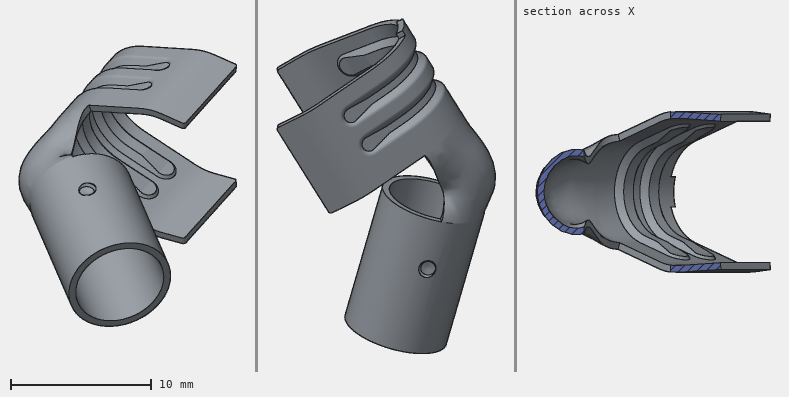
import cadquery as cq
import math


sheet = 0.508
barrel_radius = 3.75
barrel_length = 10.38

channel_turn = -45
channel_start = -12.36
channel_length = 7.62
channel_end = channel_start + channel_length
back_radius = 4.318
back_center_y = -0.67
channel_half_height = 5.715
wing_angle = math.radians(18.5)
lip_radius = 4.4
lip_angle = math.radians(5.5)
wing_tip_y = 5.77
tip_corner_radius = 0.2

tab_length = 0.42
tab_half_width = 1.08

groove_positions = [channel_start + 2.05, channel_start + 4.60]
groove_depth = 0.46
groove_half_width = 0.735
groove_edge_radius = 0.35
groove_end_depth = 0.2
groove_straight_length = 1.2
groove_ramp_length = 1.7
cutter_overlap = 0.1

neck_entry_length = 1.1
neck_entry_half_width = 3.92
neck_taper_length = 2.6
neck_taper_half_width = 3.12
neck_taper_bottom_y = -5.16
neck_taper_rim_y = -1.67
neck_exit_x = -0.6
neck_exit_half_width = 3.41
neck_exit_bottom_y = -3.76
neck_mouth_y = -0.59
throat_top = (-1.74, -0.24)
throat_bottom = (-3.20, -3.69)
throat_rim_half_width = 2.5
throat_half_width = 2.66
throat_wide_height = 2.0

dimple_x = 3.78
dimple_y = -0.62
dimple_radius = 0.67
dimple_floor_radius = 0.52
dimple_edge_depth = 0.2
dimple_depth = 0.3

wing_sin = math.sin(wing_angle)
wing_cos = math.cos(wing_angle)
wing_start = (back_center_y - back_radius * wing_sin, back_radius * wing_cos)
wing_rise = channel_half_height - lip_radius * (1 - wing_cos) - wing_start[1]
wing_length = wing_rise / wing_sin
lip_center = (
    wing_start[0] + wing_length * wing_cos + lip_radius * wing_sin,
    channel_half_height - lip_radius,
)


def section_half(inset):
    """Points of one half of the channel section at a depth below its outer face, from back to tip."""
    back = back_radius - inset
    lip = lip_radius - inset
    lip_end = (
        lip_center[0] + lip * math.sin(lip_angle),
        lip_center[1] + lip * math.cos(lip_angle),
    )
    tip_y = wing_tip_y - inset * math.sin(lip_angle)
    return {
        "back": (back_center_y - back, 0),
        "wing_start": (back_center_y - back * wing_sin, back * wing_cos),
        "wing_end": (lip_center[0] - lip * wing_sin, lip_center[1] + lip * wing_cos),
        "lip_top": (lip_center[0], lip_center[1] + lip),
        "lip_end": lip_end,
        "tip": (tip_y, lip_end[1] - (tip_y - lip_end[0]) * math.tan(lip_angle)),
    }


def mirrored(point):
    """The point reflected in the first axis of its plane."""
    return (point[0], -point[1])


def opposite(point):
    """The point reflected in the second axis of its plane."""
    return (-point[0], point[1])


def trim_to_tab(channel):
    """Cut the first stretch of the channel away, except for the tab on its back."""
    waste = cq.Workplane("XY").box(
        tab_length, 4 * channel_half_height, 4 * channel_half_height
    )
    tab = cq.Workplane("XY").box(
        tab_length, 2 * tab_half_width, 2 * tab_half_width
    ).translate((0, back_center_y - back_radius, 0))
    return channel.cut(waste.cut(tab).translate((channel_start - tab_length / 2, 0, 0)))


def make_channel():
    outer = section_half(0)
    inner = section_half(sheet)
    channel = (
        cq.Workplane("YZ", origin=(channel_start - tab_length, 0, 0))
        .moveTo(*outer["tip"])
        .lineTo(*outer["lip_end"])
        .threePointArc(outer["lip_top"], outer["wing_end"])
        .lineTo(*outer["wing_start"])
        .threePointArc(outer["back"], mirrored(outer["wing_start"]))
        .lineTo(*mirrored(outer["wing_end"]))
        .threePointArc(mirrored(outer["lip_top"]), mirrored(outer["lip_end"]))
        .lineTo(*mirrored(outer["tip"]))
        .lineTo(*mirrored(inner["tip"]))
        .lineTo(*mirrored(inner["lip_end"]))
        .threePointArc(mirrored(inner["lip_top"]), mirrored(inner["wing_end"]))
        .lineTo(*mirrored(inner["wing_start"]))
        .threePointArc(inner["back"], inner["wing_start"])
        .lineTo(*inner["wing_end"])
        .threePointArc(inner["lip_top"], inner["lip_end"])
        .lineTo(*inner["tip"])
        .close()
        .extrude(tab_length + channel_length)
    )
    channel = trim_to_tab(channel)
    tip_zone = cq.selectors.BoxSelector(
        (channel_start - tab_length, wing_tip_y - tip_corner_radius, -channel_half_height),
        (channel_end + tab_length, wing_tip_y + tip_corner_radius, channel_half_height),
    )
    return channel.edges(tip_zone).edges("#X").fillet(tip_corner_radius)


def groove_outline(depth):
    """Right side of the groove as (half width, depth below the outer face) points, floor first."""
    edge_drop = groove_edge_radius * (1 - math.cos(math.pi / 4))
    edge_run = groove_edge_radius * math.tan(math.pi / 8)
    rim = groove_half_width + edge_run
    swing = math.pi / 8
    arc_middle = (
        rim - groove_edge_radius * math.sin(swing),
        groove_edge_radius * (1 - math.cos(swing)),
    )
    flank_top = (groove_half_width - edge_drop, edge_drop)
    return [(groove_half_width - depth, depth), flank_top, arc_middle, (rim, 0), (rim, -cutter_overlap)]


def groove_section(plane, depth):
    """Closed groove section; the plane's x is across the groove and its y points into the sheet."""
    floor, flank_top, arc_middle, rim, top = groove_outline(depth)
    return (
        cq.Workplane(plane)
        .moveTo(*opposite(floor))
        .lineTo(*floor)
        .lineTo(*flank_top)
        .threePointArc(arc_middle, rim)
        .lineTo(*top)
        .lineTo(*opposite(top))
        .lineTo(*opposite(rim))
        .threePointArc(opposite(arc_middle), opposite(flank_top))
        .close()
    )


def groove_end(plane, depth):
    """Round end of the groove, turned about an axis that points into the sheet."""
    floor, flank_top, arc_middle, rim, top = groove_outline(depth)
    return (
        cq.Workplane(plane)
        .moveTo(0, depth)
        .lineTo(*floor)
        .lineTo(*flank_top)
        .threePointArc(arc_middle, rim)
        .lineTo(*top)
        .lineTo(0, top[1])
        .close()
        .revolve(360, (0, 0, 0), (0, 1, 0))
    )


def bead_outline(depth):
    """Right side of the raised back of a groove, one sheet thickness below the groove, floor first."""
    floor_depth = depth + sheet
    top_depth = sheet / 2
    reach = groove_half_width + sheet * math.sqrt(2)
    return [(reach - floor_depth, floor_depth), (reach - top_depth, top_depth)]


def bead_section(plane, depth):
    """Closed section of the raised back of a groove."""
    floor, top = bead_outline(depth)
    return cq.Workplane(plane).polyline([opposite(floor), floor, top, opposite(top)]).close()


def bead_end(plane, depth):
    """Round end of the raised back of a groove."""
    floor, top = bead_outline(depth)
    profile = cq.Workplane(plane).polyline([(0, floor[1]), floor, top, (0, top[1])]).close()
    return profile.revolve(360, (0, 0, 0), (0, 1, 0))


def wing_plane(x, distance):
    """Plane across the upper wing, at a distance along its outer face from the start of the wing."""
    origin = (
        x,
        wing_start[0] + distance * wing_cos,
        wing_start[1] + distance * wing_sin,
    )
    return cq.Plane(origin=origin, xDir=(1, 0, 0), normal=(0, wing_cos, wing_sin))


def follow_channel(x, section, end):
    """Solid that follows the back of the channel and fades out along both wings."""
    start = wing_plane(x, 0)
    turn = 180 - 2 * math.degrees(wing_angle)
    axis_start = start.toLocalCoords(cq.Vector(x, back_center_y, 0))
    around_back = section(start, groove_depth).revolve(
        turn, (0, axis_start.y, 0), (1, axis_start.y, 0)
    )
    ramp_start = wing_plane(x, groove_straight_length)
    ramp_end = wing_plane(x, groove_straight_length + groove_ramp_length)
    straight = section(start, groove_depth).extrude(groove_straight_length)
    ramp = cq.Workplane(
        cq.Solid.makeLoft(
            [
                section(ramp_start, groove_depth).wire().val(),
                section(ramp_end, groove_end_depth).wire().val(),
            ],
            True,
        )
    )
    wing = straight.union(ramp).union(end(ramp_end, groove_end_depth))
    return around_back.union(wing).union(wing.mirror("XY"))


def add_grooves(channel):
    for x in groove_positions:
        channel = channel.union(follow_channel(x, bead_section, bead_end))
    for x in groove_positions:
        channel = channel.cut(follow_channel(x, groove_section, groove_end))
    return channel


def arc_section(plane, bottom, rim):
    """Crescent between two concentric arcs that open towards +x; rim is one end of the outer arc."""
    depth = rim[0] - bottom
    radius = (depth**2 + rim[1] ** 2) / (2 * depth)
    center = bottom + radius
    inner_scale = (radius - sheet) / radius
    inner_rim = (center + (rim[0] - center) * inner_scale, rim[1] * inner_scale)
    return (
        cq.Workplane(plane)
        .moveTo(*rim)
        .threePointArc((bottom, 0), mirrored(rim))
        .lineTo(*mirrored(inner_rim))
        .threePointArc((bottom + sheet, 0), inner_rim)
        .close()
        .wire()
        .val()
    )


def throat_section(plane, height):
    """U-shaped crescent where the neck bends; its bottom lies at the plane's origin."""
    rim = (height, throat_rim_half_width)
    wide = (throat_wide_height, throat_half_width)
    inner_rim = (height, throat_rim_half_width - sheet)
    inner_wide = (throat_wide_height, throat_half_width - sheet)
    return (
        cq.Workplane(plane)
        .moveTo(*rim)
        .spline([wide, (0, 0), mirrored(wide), mirrored(rim)], includeCurrent=True)
        .lineTo(*mirrored(inner_rim))
        .spline([mirrored(inner_wide), (sheet, 0), inner_wide, inner_rim], includeCurrent=True)
        .close()
        .wire()
        .val()
    )


def section_plane(origin, opening):
    """Upright plane whose x is the opening direction and whose y is Z."""
    normal = cq.Vector(*opening).cross(cq.Vector(0, 0, 1))
    return cq.Plane(origin=origin, xDir=opening, normal=normal)


def make_neck():
    turn = math.radians(channel_turn)
    along = (math.cos(turn), math.sin(turn), 0)
    across = (-math.sin(turn), math.cos(turn), 0)

    def channel_plane(distance):
        origin = tuple((channel_end + distance) * part for part in along)
        return section_plane(origin, across)

    back_y = back_center_y - back_radius
    entry_rim = (wing_start[0], neck_entry_half_width)
    taper_rim = (neck_taper_rim_y, neck_taper_half_width)
    exit_rim = (neck_mouth_y, neck_exit_half_width)
    rise = (throat_top[0] - throat_bottom[0], throat_top[1] - throat_bottom[1], 0)
    mouth_rim = (neck_mouth_y, math.sqrt(barrel_radius**2 - neck_mouth_y**2))
    sections = [
        arc_section(channel_plane(0), back_y, wing_start),
        arc_section(channel_plane(neck_entry_length), back_y, entry_rim),
        arc_section(channel_plane(neck_taper_length), neck_taper_bottom_y, taper_rim),
        throat_section(section_plane((*throat_bottom, 0), rise), math.hypot(*rise)),
        arc_section(section_plane((neck_exit_x, 0, 0), (0, 1, 0)), neck_exit_bottom_y, exit_rim),
        arc_section(section_plane((0, 0, 0), (0, 1, 0)), -barrel_radius, mouth_rim),
    ]
    return cq.Workplane(cq.Solid.makeLoft(sections))


def make_barrel():
    return (
        cq.Workplane("YZ")
        .circle(barrel_radius)
        .circle(barrel_radius - sheet)
        .extrude(barrel_length)
    )


def make_dimple():
    surface_z = math.sqrt(barrel_radius**2 - dimple_y**2)
    return (
        cq.Workplane("XZ", origin=(dimple_x, dimple_y, surface_z))
        .moveTo(0, -dimple_depth)
        .lineTo(dimple_floor_radius, -dimple_edge_depth)
        .lineTo(dimple_radius, 0)
        .lineTo(dimple_radius, dimple_depth)
        .lineTo(0, dimple_depth)
        .close()
        .revolve(360, (0, 0, 0), (0, 1, 0))
    )


channel = add_grooves(make_channel())
channel = channel.rotate((0, 0, 0), (0, 0, 1), channel_turn)
dimple = make_dimple()
barrel = make_barrel().cut(dimple).cut(dimple.mirror("XY"))
result = channel.union(make_neck()).union(barrel)